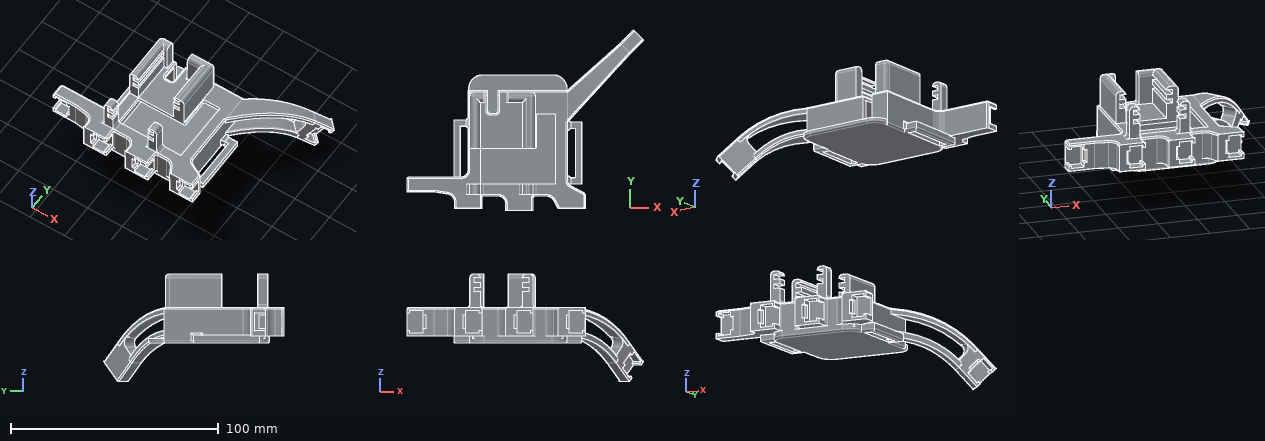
import cadquery as cq
import math


TOLERANCE = 0.01

BODY_LEFT = 29.6
BODY_RIGHT = 77.5
BODY_FRONT = 7.0
BODY_BACK = 57.95
BODY_TOP = 17.26
WALL = 2.2
ROOF = 2.1
TOP_CHAMFER = 0.75
TAB_BOTTOM = 3.44
TAB_HEIGHT = BODY_TOP - TAB_BOTTOM
TAB_MIDDLE_Z = (BODY_TOP + TAB_BOTTOM) / 2

PLATE_THICKNESS = 2.3
PLATE_BACK = 65.4
PLATE_INSET = 0.2
PLATE_CORNER = 6.8
BASE_CORNER = 7.6
BOTTOM_FILLET = 1.0

TAB_WIDTH = 13.2
TAB_LEFTS = (23.0, 47.7, 72.9)
TAB_FRONTS = (1.03, 0.0, 1.03)
TAB_RIGHTS = tuple(left + TAB_WIDTH for left in TAB_LEFTS)
TAB_ROOT_FILLETS = (0.4, 1.0)
TAB_THROAT_FILLET = 3.7
ARM_FRONT = 9.0
ARM_BACK = 16.2
ARM_CORNER_FILLET = 3.5
ARM_BEND_X = 13.1
ARM_BLEND_START = (19.7, 7.95)
ARM_BLEND_END_Y = 4.3
RIGHT_THROAT_START_X = 67.0
RIGHT_THROAT_END = (70.8, 4.9)
RIGHT_SHOULDER = (85.5, 8.5)
SHOULDER_CUT = 0.9
RIGHT_NECK_START = (78.9, 12.0)
RIGHT_NECK_END_Y = 14.4

RIM = 0.3
POCKET_LENGTH = 7.8
POCKET_DEPTH = 5.2
POCKET_HEIGHT = 11.0
LIP_LENGTH = 1.3
LIP_GAP = 8.6
LATCH_LENGTH = 1.4
LATCH_DEPTH = 3.1
LATCH_HEIGHT = 6.6

OPENING_LEFT = 35.5
OPENING_RIGHT = 71.6
OPENING_BRANCH_LEFT = 62.45
OPENING_FRONT = 12.75
OPENING_BACK = 46.5
OPENING_CORNER = 0.6
SLOT_CENTER_X = 41.45
SLOT_WIDTH = 5.2
SLOT_FRONT = 46.75
SLOT_CORNER = 1.6

HOLDER_TOP = 33.4
HOLDER_LEFT = BODY_LEFT + TOP_CHAMFER
HOLDER_RIGHT = 61.95
HOLDER_BACK = BODY_BACK - 0.8
HOLDER_FRONT = 30.0
HOLDER_EDGE = 2.0
RAIL_THICKNESS = 5.1
BAY_LEFT = HOLDER_LEFT + RAIL_THICKNESS
BAY_RIGHT = 55.8
BAY_BACK = 52.15
BACK_GAP_LEFT = 37.2
BACK_GAP_RIGHT = 48.9
GAP_FOOT = 0.8
GROOVE_DEPTH = 3.1
GROOVES = ((29.3, 31.7), (24.8, 26.9))
CLIP_FRONT = BODY_FRONT + TOP_CHAMFER
CLIP_BACK = OPENING_FRONT
CLIP_FOOT = 1.45

LOOP_HEIGHT = 3.85
LOOP_BAR = 3.2
LOOP_FOOT_RISE = 1.1
LEFT_LOOP_FOOT = 1.1
RIGHT_LOOP_FOOT = 1.6
LEFT_LOOP = (22.7, 11.75, 43.7)
RIGHT_LOOP = (84.4, 12.7, 42.7)

STRUT_ROOT_Y = 50.3
STRUT_TURN = 45.0
STRUT_BEND = 45.0
STRUT_RADIUS = 58.0
STRUT_BEND_START = -1.65
STRUT_TIP_LENGTH = 12.79
STRUT_WIDTH = 7.0
STRUT_ROOT_HALF_WIDTH = 5.4
UPPER_STRAP_THICKNESS = 2.4
LOWER_STRAP_THICKNESS = 2.7
STRAP_ROOT_THICKNESS = 2.9
STRAP_BACK_SLOPE = 7.0
STRUT_CHAMFER = 0.7
WINDOW_END_ANGLE = 42.0
WINDOW_CORNER = 3.2
CORE_ANGLE = 4.0
CORE_OVERLAP = 0.8

turn = math.radians(STRUT_TURN)
bend = math.radians(STRUT_BEND)
STRUT_AXIS = cq.Vector(math.cos(turn), math.sin(turn), 0)
STRUT_SIDE = cq.Vector(math.sin(turn), -math.cos(turn), 0)
STRUT_ORIGIN = cq.Vector(BODY_RIGHT, STRUT_ROOT_Y, 0)
UP = cq.Vector(0, 0, 1)
TIP_DIRECTION = STRUT_AXIS * math.cos(bend) - UP * math.sin(bend)
TIP_NORMAL = STRUT_AXIS * math.sin(bend) + UP * math.cos(bend)
STRUT_PLANE = cq.Workplane(cq.Plane(STRUT_ORIGIN, STRUT_AXIS, STRUT_SIDE))


def box(x0, x1, y0, y1, z0, z1):
    return cq.Workplane("XY").box(x1 - x0, y1 - y0, z1 - z0, centered=False).translate((x0, y0, z0))


def make_upper_body():
    """Housing, left arm and front tabs, with the upper edges chamfered except at the tab fronts."""
    throat = TAB_THROAT_FILLET
    left, middle, right = TAB_LEFTS
    left_end, middle_end, right_end = TAB_RIGHTS
    left_front, middle_front, right_front = TAB_FRONTS
    left_root, middle_root = TAB_ROOT_FILLETS

    outline = cq.Workplane("XY").workplane(offset=TAB_BOTTOM).moveTo(0, ARM_FRONT)
    outline = outline.lineTo(ARM_BEND_X, ARM_FRONT).lineTo(*ARM_BLEND_START)
    outline = outline.tangentArcPoint((left, ARM_BLEND_END_Y), relative=False)
    outline = outline.lineTo(left, left_front).lineTo(left_end, left_front)
    outline = outline.lineTo(left_end, BODY_FRONT - left_root).tangentArcPoint((left_root, left_root))
    outline = outline.lineTo(middle - throat, BODY_FRONT).tangentArcPoint((throat, -throat))
    outline = outline.lineTo(middle, middle_front).lineTo(middle_end, middle_front)
    outline = outline.lineTo(middle_end, BODY_FRONT - middle_root).tangentArcPoint((middle_root, middle_root))
    outline = outline.lineTo(RIGHT_THROAT_START_X, BODY_FRONT)
    outline = outline.tangentArcPoint(RIGHT_THROAT_END, relative=False)
    outline = outline.lineTo(right, right_front).lineTo(right_end, right_front)
    outline = outline.lineTo(right_end, RIGHT_SHOULDER[1] - SHOULDER_CUT).lineTo(*RIGHT_SHOULDER)
    outline = outline.lineTo(*RIGHT_NECK_START)
    outline = outline.tangentArcPoint((BODY_RIGHT, RIGHT_NECK_END_Y), relative=False)
    outline = outline.lineTo(BODY_RIGHT, BODY_BACK).lineTo(BODY_LEFT, BODY_BACK)
    outline = outline.lineTo(BODY_LEFT, ARM_BACK + ARM_CORNER_FILLET)
    outline = outline.tangentArcPoint((-ARM_CORNER_FILLET, -ARM_CORNER_FILLET))
    outline = outline.lineTo(TOP_CHAMFER, ARM_BACK).lineTo(0, ARM_BACK - TOP_CHAMFER)
    body = outline.close().extrude(TAB_HEIGHT)

    top_edges = body.faces(">Z").edges().vals()
    chamfered = [edge for edge in top_edges if edge.Center().y > max(TAB_FRONTS) + TOLERANCE]
    body = body.newObject(chamfered).chamfer(TOP_CHAMFER)
    for tab_left, tab_end, front in zip(TAB_LEFTS, TAB_RIGHTS, TAB_FRONTS):
        body = body.union(box(tab_left, tab_end, front, front + RIM, TAB_BOTTOM, BODY_TOP))
    return body


def make_loop_foot(bar_y, wall_x, length):
    """Tapered foot that widens a loop's end bar where it meets the housing wall, by length along X."""
    foot = (
        cq.Workplane("YZ", origin=(wall_x, bar_y, 0))
        .rect(LOOP_BAR + 2 * LOOP_FOOT_RISE, 2 * (LOOP_HEIGHT + LOOP_FOOT_RISE))
        .extrude(length, taper=math.degrees(math.atan(LOOP_FOOT_RISE / abs(length))))
    )
    room = box(LEFT_LOOP[0], RIGHT_LOOP[0], RIGHT_LOOP[1], BODY_BACK, BOTTOM_FILLET, BODY_TOP)
    return foot.intersect(room)


def make_base():
    """Floor of the housing with its back plate and the two strap loops, rounded along the underside."""
    base = box(BODY_LEFT, BODY_RIGHT, BODY_FRONT, BODY_BACK, 0, TAB_BOTTOM)
    base = base.edges("|Z and <Y").fillet(BASE_CORNER)
    plate_left = BODY_LEFT + PLATE_INSET
    plate_right = BODY_RIGHT - PLATE_INSET
    plate = box(plate_left, plate_right, HOLDER_FRONT, PLATE_BACK, 0, PLATE_THICKNESS)
    base = base.union(plate.edges("|Z and >Y").fillet(PLATE_CORNER))
    loops = (LEFT_LOOP, RIGHT_LOOP)
    body_middle = (BODY_LEFT + BODY_RIGHT) / 2
    for outer_x, front, back in loops:
        x0, x1 = sorted((outer_x, body_middle))
        base = base.union(box(x0, x1, front, back, 0, TAB_BOTTOM))
    base = base.faces("<Z").edges().fillet(BOTTOM_FILLET)
    for (outer_x, front, back), wall_x in zip(loops, (BODY_LEFT, BODY_RIGHT)):
        x0, x1 = sorted((outer_x, wall_x))
        base = base.union(box(x0, x1, front, back, TAB_BOTTOM, LOOP_HEIGHT))
        inner_x = outer_x + math.copysign(LOOP_BAR, wall_x - outer_x)
        x0, x1 = sorted((inner_x, wall_x))
        base = base.cut(box(x0, x1, front + LOOP_BAR, back - LOOP_BAR, 0, LOOP_HEIGHT))
    base = base.union(make_loop_foot(LEFT_LOOP[2] - LOOP_BAR / 2, BODY_LEFT, -LEFT_LOOP_FOOT))
    for bar_y in (RIGHT_LOOP[1] + LOOP_BAR / 2, RIGHT_LOOP[2] - LOOP_BAR / 2):
        base = base.union(make_loop_foot(bar_y, BODY_RIGHT, RIGHT_LOOP_FOOT))
    return base


def make_flared_foot(face_x, away, size, front, back):
    """Concave fillet strip at the foot of an upright face; away is the X direction it points to."""
    middle = size * (1 - math.sqrt(0.5))
    foot = cq.Workplane("XZ", origin=(face_x, back, BODY_TOP)).lineTo(away * size, 0)
    foot = foot.threePointArc((away * middle, middle), (0, size)).close()
    return foot.extrude(back - front)


def make_holder():
    """Three-sided wall around the bay; the side walls are grooved and the back wall has a gap."""
    holder = box(HOLDER_LEFT, HOLDER_RIGHT, HOLDER_FRONT, HOLDER_BACK, BODY_TOP, HOLDER_TOP)
    holder = holder.edges("|Z and >Y").fillet(HOLDER_EDGE)
    holder = holder.cut(box(BAY_LEFT, BAY_RIGHT, HOLDER_FRONT, BAY_BACK, BODY_TOP, HOLDER_TOP))
    top_edges = holder.faces(">Z").edges().vals()
    rounded = [edge for edge in top_edges if edge.Center().y > HOLDER_FRONT + TOLERANCE]
    holder = holder.newObject(rounded).fillet(HOLDER_EDGE)
    for bottom, top in GROOVES:
        holder = holder.cut(
            box(BAY_LEFT - GROOVE_DEPTH, BAY_RIGHT + GROOVE_DEPTH, HOLDER_FRONT, BAY_BACK, bottom, top)
        )
    holder = holder.cut(box(BACK_GAP_LEFT, BACK_GAP_RIGHT, BAY_BACK, BODY_BACK, BODY_TOP, HOLDER_TOP))
    return holder.union(make_flared_foot(BACK_GAP_RIGHT, -1, GAP_FOOT, BAY_BACK, HOLDER_BACK))


def make_clip(outer_x, inward):
    """Grooved post with flared feet; inward is +1 or -1, the X direction towards the bay."""
    clip = box(0, RAIL_THICKNESS, CLIP_FRONT, CLIP_BACK, BODY_TOP, HOLDER_TOP)
    clip = clip.faces(">Z").edges("|Y").fillet(HOLDER_EDGE)
    groove_start = RAIL_THICKNESS - GROOVE_DEPTH
    for bottom, top in GROOVES:
        clip = clip.cut(box(groove_start, RAIL_THICKNESS, CLIP_FRONT, CLIP_BACK, bottom, top))
    for face_x, away in ((0, -1), (RAIL_THICKNESS, 1)):
        clip = clip.union(make_flared_foot(face_x, away, CLIP_FOOT, CLIP_FRONT, CLIP_BACK))
    if inward < 0:
        clip = clip.mirror("YZ")
    return clip.translate((outer_x, 0, 0))


def make_connector_pocket(plane):
    """Pocket cutter: open along +X between two lips, sunk along +Y, with a latch recess at its end."""
    pocket = box(-POCKET_LENGTH, -LIP_LENGTH, 0, POCKET_DEPTH, -POCKET_HEIGHT / 2, POCKET_HEIGHT / 2)
    pocket = pocket.union(box(-POCKET_LENGTH, 0, 0, POCKET_DEPTH, -LIP_GAP / 2, LIP_GAP / 2))
    latch_end = -POCKET_LENGTH - LATCH_LENGTH
    pocket = pocket.union(box(latch_end, 0, 0, LATCH_DEPTH, -LATCH_HEIGHT / 2, LATCH_HEIGHT / 2))
    return cq.Workplane(pocket.val().located(cq.Location(plane)))


def polar(radius, angle):
    """Point of the strut's plane on a circle about the bend centre, angle clockwise from straight up."""
    a = math.radians(angle)
    return (STRUT_BEND_START + radius * math.sin(a), BODY_TOP - STRUT_RADIUS + radius * math.cos(a))


def strut_point(radius, angle):
    return STRUT_PLANE.plane.toWorldCoords(polar(radius, angle))


def strut_band(outer, inner, start, end, half_width):
    """Solid band around the bend centre, symmetric about the strut's plane."""
    middle = (start + end) / 2
    band = STRUT_PLANE.moveTo(*polar(outer, start)).threePointArc(polar(outer, middle), polar(outer, end))
    band = band.lineTo(*polar(inner, end)).threePointArc(polar(inner, middle), polar(inner, start))
    return band.close().extrude(half_width, both=True)


def strap_curve(root, fold, forward, root_slope):
    """Curve from the housing wall to the fold, where it runs parallel to the tip block."""
    slope = math.radians(root_slope)
    start_direction = forward * math.cos(slope) - UP * math.sin(slope)
    end_direction = forward * math.cos(bend) - UP * math.sin(bend)
    return cq.Edge.makeSpline([root, fold], tangents=[start_direction, end_direction])


def strap_section(root_levels, fold_radii, side, inset):
    """Upright lengthwise section of a strap, inset from its edge on the given side (+1 front, -1 back)."""
    foot = STRUT_ORIGIN + (STRUT_SIDE - STRUT_AXIS) * (side * (STRUT_ROOT_HALF_WIDTH - inset))
    fold_offset = STRUT_SIDE * (side * (STRUT_WIDTH / 2 - inset))
    fold_middle = strut_point(sum(fold_radii) / 2, STRUT_BEND) + fold_offset
    run = fold_middle - foot
    forward = cq.Vector(run.x, run.y, 0).normalized()
    root_slope = STRAP_BACK_SLOPE if side < 0 else 0

    curves = []
    for level, radius in zip(root_levels, fold_radii):
        fold = strut_point(radius, STRUT_BEND)
        distance = (fold - foot).dot(STRUT_AXIS) / forward.dot(STRUT_AXIS)
        end = foot + forward * distance + UP * fold.z
        curves.append(strap_curve(foot + UP * level, end, forward, root_slope))
    upper, lower = curves
    wall_line = cq.Edge.makeLine(lower.startPoint(), upper.startPoint())
    fold_line = cq.Edge.makeLine(upper.endPoint(), lower.endPoint())
    return cq.Wire.assembleEdges([wall_line, upper, fold_line, lower])


def make_strap(root_levels, fold_radii, upper_chamfer, lower_chamfer):
    """One flared strap from the housing wall to the fold.

    upper_chamfer runs along both upper edges, lower_chamfer only along the lower edge at the back.
    root_levels are its top and bottom heights at the wall, fold_radii its outer and inner radius at the fold.
    """
    inset = max(upper_chamfer, lower_chamfer)
    top_level, bottom_level = root_levels
    outer, inner = fold_radii
    back_levels = (top_level - upper_chamfer, bottom_level + lower_chamfer)
    back_radii = (outer - upper_chamfer, inner + lower_chamfer)
    front_levels = (top_level - upper_chamfer, bottom_level)
    front_radii = (outer - upper_chamfer, inner)
    sections = [
        strap_section(back_levels, back_radii, -1, 0),
        strap_section(root_levels, fold_radii, -1, inset),
        strap_section(root_levels, fold_radii, 1, inset),
        strap_section(front_levels, front_radii, 1, 0),
    ]
    return cq.Workplane(cq.Solid.makeLoft(sections, True))


def make_strut():
    """Two flared straps bent downwards that join in a solid, straight tip block."""
    inner_radius = STRUT_RADIUS - TAB_HEIGHT
    window_top = STRUT_RADIUS - UPPER_STRAP_THICKNESS
    window_bottom = inner_radius + LOWER_STRAP_THICKNESS
    half = STRUT_WIDTH / 2
    half_height = TAB_HEIGHT / 2

    core_start = WINDOW_END_ANGLE - CORE_ANGLE
    core = strut_band(window_top + CORE_OVERLAP, window_bottom - CORE_OVERLAP, core_start, STRUT_BEND, half)
    window = strut_band(window_top, window_bottom, 0, WINDOW_END_ANGLE, STRUT_WIDTH)
    window = window.edges(cq.selectors.ParallelDirSelector(STRUT_SIDE)).edges(">X").fillet(WINDOW_CORNER)
    strut = core.cut(window)
    upper_levels = (BODY_TOP, BODY_TOP - STRAP_ROOT_THICKNESS)
    lower_strap_top = TAB_BOTTOM + LOWER_STRAP_THICKNESS
    lower_levels = (lower_strap_top, lower_strap_top - STRAP_ROOT_THICKNESS)
    strut = strut.union(make_strap(upper_levels, (STRUT_RADIUS, window_top), STRUT_CHAMFER, 0))
    strut = strut.union(make_strap(lower_levels, (window_bottom, inner_radius), 0, STRUT_CHAMFER))

    fold = strut_point(STRUT_RADIUS - half_height, STRUT_BEND)
    block = box(0, STRUT_TIP_LENGTH, -half, half, -half_height, half_height)
    block = block.edges("|X and (>Z or >Y)").chamfer(STRUT_CHAMFER)
    block = block.union(box(STRUT_TIP_LENGTH - RIM, STRUT_TIP_LENGTH, -half, half, -half_height, half_height))
    strut = strut.union(block.val().located(cq.Location(cq.Plane(fold, TIP_DIRECTION, TIP_NORMAL))))
    tip = fold + TIP_DIRECTION * STRUT_TIP_LENGTH + STRUT_SIDE * half
    return strut.cut(make_connector_pocket(cq.Plane(tip, TIP_DIRECTION, TIP_NORMAL)))


def make_roof_openings():
    """L-shaped opening in the roof and the slot at the back with its chamfered rim."""
    roof_bottom = BODY_TOP - ROOF
    opening = box(OPENING_LEFT, OPENING_RIGHT, OPENING_FRONT, HOLDER_FRONT, roof_bottom, BODY_TOP)
    opening = opening.union(
        box(OPENING_BRANCH_LEFT, OPENING_RIGHT, OPENING_FRONT, OPENING_BACK, roof_bottom, BODY_TOP)
    )
    opening = opening.edges("|Z").fillet(OPENING_CORNER)
    slot_left = SLOT_CENTER_X - SLOT_WIDTH / 2
    slot = box(slot_left, slot_left + SLOT_WIDTH, SLOT_FRONT, BODY_BACK, PLATE_THICKNESS, BODY_TOP)
    slot = slot.edges("|Z and <Y").fillet(SLOT_CORNER)
    rim = slot.faces(">Z").wires().toPending().workplane().offset2D(TOP_CHAMFER)
    rim = rim.extrude(-TOP_CHAMFER, taper=45, combine=False)
    return opening.union(slot).union(rim)


def make_cavity():
    x0, x1 = BODY_LEFT + WALL, BODY_RIGHT - WALL
    y0, y1 = BODY_FRONT + WALL, BODY_BACK - WALL
    return box(x0, x1, y0, y1, PLATE_THICKNESS, BODY_TOP - ROOF)


def make_strut_pad():
    """Square top edge of the right wall where the upper strap starts."""
    front = STRUT_ROOT_Y - math.sqrt(2) * STRUT_ROOT_HALF_WIDTH
    return box(BODY_RIGHT - WALL, BODY_RIGHT, front, BODY_BACK - TOP_CHAMFER, BODY_TOP - ROOF, BODY_TOP)


result = make_upper_body().union(make_base()).cut(make_cavity()).cut(make_roof_openings())
result = result.union(make_holder())
result = result.union(make_clip(HOLDER_LEFT, 1)).union(make_clip(BAY_RIGHT + RAIL_THICKNESS, -1))
for tab_right, tab_front in zip(TAB_RIGHTS, TAB_FRONTS):
    tab_plane = cq.Plane((tab_right, tab_front, TAB_MIDDLE_Z), (1, 0, 0), (0, 0, 1))
    result = result.cut(make_connector_pocket(tab_plane))
arm_plane = cq.Plane((0, ARM_FRONT, TAB_MIDDLE_Z), (-1, 0, 0), (0, 0, -1))
result = result.cut(make_connector_pocket(arm_plane))
result = result.union(make_strut_pad()).union(make_strut())